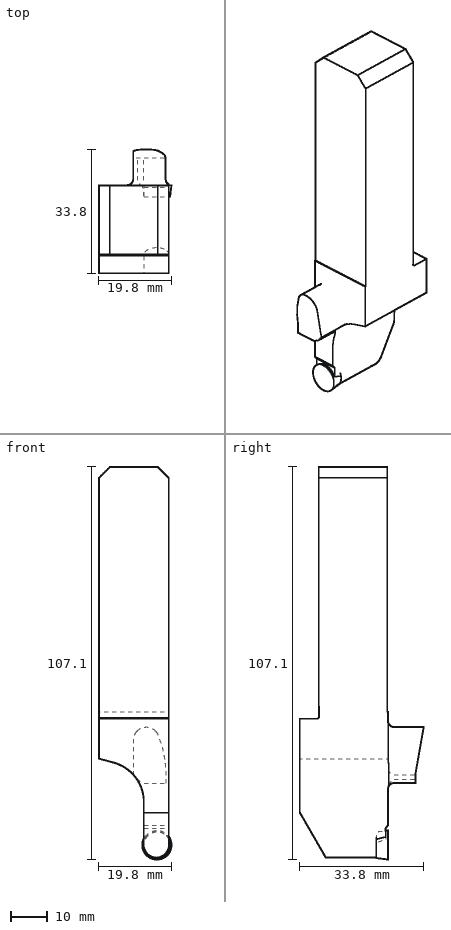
import cadquery as cq
import math

width = 19.1
height = 107.1
head_depth = 24.1
shank_rear = -0.2
shank_front = -19.0
rear_step_z = 40.4
ledge_z = 38.5
top_chamfer = 3.0

relief_depth = 0.1
relief_top_z = 42.0
relief_floor_z = 41.5
ledge_bevel_width = 0.4
ledge_bevel_height = 0.3

insert_radius = 4.02
insert_thickness = 3.2
insert_clearance_angle = 7.0
insert_z = insert_radius

blade_width = 6.9
blade_half = blade_width / 2
blade_left = width - blade_width
insert_offset = 0.16
insert_x = width - blade_half + insert_offset
blade_front_z = 12.9
blade_front_angle = 30.0
rear_relief_depth = 0.6
rear_relief_z = 8.6
rear_relief_top_z = 9.4

shoulder_z = 27.5
shoulder_angle = math.radians(15)
throat_radius = 11.0

boss_length = 9.7
boss_short_length = 7.5
boss_top_z = 36.2
boss_slope_end_z = 23.5
boss_bottom_z = 20.9
boss_left = 9.3
boss_right = 18.2
boss_crown_radius = 3.5
boss_lean = math.radians(22)
boss_bottom_left_x = 12.1
boss_left_end_z = 22.5
boss_fillet = 1.6


def make_side_prism():
    """Depth outline (Y, Z), extruded across the width."""
    slope_run = blade_front_z * math.tan(math.radians(blade_front_angle))
    relief_front = shank_front + relief_depth
    return (
        cq.Workplane("YZ")
        .moveTo(shank_rear, height)
        .lineTo(shank_front, height)
        .lineTo(shank_front, relief_top_z)
        .lineTo(relief_front, relief_floor_z)
        .lineTo(relief_front, ledge_z + ledge_bevel_height)
        .lineTo(relief_front - ledge_bevel_width, ledge_z)
        .lineTo(-head_depth, ledge_z)
        .lineTo(-head_depth, blade_front_z)
        .lineTo(-head_depth + slope_run, 0)
        .lineTo(-rear_relief_depth, 0)
        .lineTo(-rear_relief_depth, rear_relief_z)
        .lineTo(0, rear_relief_top_z)
        .lineTo(0, rear_step_z)
        .lineTo(shank_rear, rear_step_z)
        .close()
        .extrude(width)
    )


def make_front_prism():
    """Width outline (X, Z), extruded through the holder and the boss."""
    center_x = blade_left - throat_radius
    center_z = (shoulder_z - center_x * math.tan(shoulder_angle)
                - throat_radius / math.cos(shoulder_angle))
    mid_angle = (math.pi / 2 - shoulder_angle) / 2
    arc_start = (center_x + throat_radius * math.sin(shoulder_angle),
                 center_z + throat_radius * math.cos(shoulder_angle))
    arc_mid = (center_x + throat_radius * math.cos(mid_angle),
               center_z + throat_radius * math.sin(mid_angle))
    return (
        cq.Workplane("XZ", origin=(0, boss_length, 0))
        .moveTo(0, shoulder_z)
        .lineTo(*arc_start)
        .threePointArc(arc_mid, (blade_left, center_z))
        .lineTo(blade_left, insert_z)
        .threePointArc((width - blade_half, insert_z - blade_half), (width, insert_z))
        .lineTo(width, height - top_chamfer)
        .lineTo(width - top_chamfer, height)
        .lineTo(top_chamfer, height)
        .lineTo(0, height - top_chamfer)
        .close()
        .extrude(boss_length + head_depth)
    )


def make_boss():
    """Boss with a filleted root on a base slab; the holder outline trims both."""
    slab_depth = head_depth / 2
    slab_height = rear_step_z - rear_relief_top_z
    slab = cq.Workplane("XY").box(2 * width, slab_depth, slab_height, centered=False)
    slab = slab.translate((-width / 2, -slab_depth, rear_relief_top_z))
    crown_x = boss_left + boss_crown_radius
    crown_z = boss_top_z - boss_crown_radius
    lean_x = crown_x + boss_crown_radius * math.cos(boss_lean)
    lean_z = crown_z + boss_crown_radius * math.sin(boss_lean)
    side_radius = (boss_right - lean_x) / (1 - math.cos(boss_lean))
    side_z = lean_z - side_radius * math.sin(boss_lean)
    side_mid = (boss_right - side_radius * (1 - math.cos(boss_lean / 2)),
                side_z + side_radius * math.sin(boss_lean / 2))
    boss = (
        cq.Workplane("XZ")
        .moveTo(boss_left, boss_left_end_z)
        .lineTo(boss_left, crown_z)
        .threePointArc((crown_x, boss_top_z), (lean_x, lean_z))
        .threePointArc(side_mid, (boss_right, side_z))
        .lineTo(boss_right, boss_bottom_z)
        .lineTo(boss_bottom_left_x, boss_bottom_z)
        .close()
        .extrude(-boss_length - boss_fillet)
    )
    end_slope = (boss_length - boss_short_length) / (boss_top_z - boss_slope_end_z)
    sloped_end = (
        cq.Workplane("YZ")
        .moveTo(0, height)
        .lineTo(boss_length + end_slope * (height - boss_top_z), height)
        .lineTo(boss_short_length, boss_slope_end_z)
        .lineTo(boss_short_length, 0)
        .lineTo(0, 0)
        .close()
        .extrude(width)
    )
    boss = boss.intersect(sloped_end)
    root = cq.selectors.BoxSelector(
        (boss_left - boss_fillet, -boss_fillet, boss_bottom_z - boss_fillet),
        (boss_right + boss_fillet, boss_fillet, boss_top_z + boss_fillet),
    )
    return slab.union(boss).edges(root).fillet(boss_fillet)


def make_insert():
    """Round insert, largest at its rear cutting edge."""
    return (
        cq.Workplane("XZ", origin=(insert_x, 0, insert_z))
        .circle(insert_radius)
        .extrude(insert_thickness, taper=insert_clearance_angle)
    )


insert = make_insert()
outline = make_front_prism()
boss = make_boss().intersect(outline)
holder = make_side_prism().intersect(outline).union(boss).cut(insert)

result = cq.Compound.makeCompound([holder.val(), insert.val()])